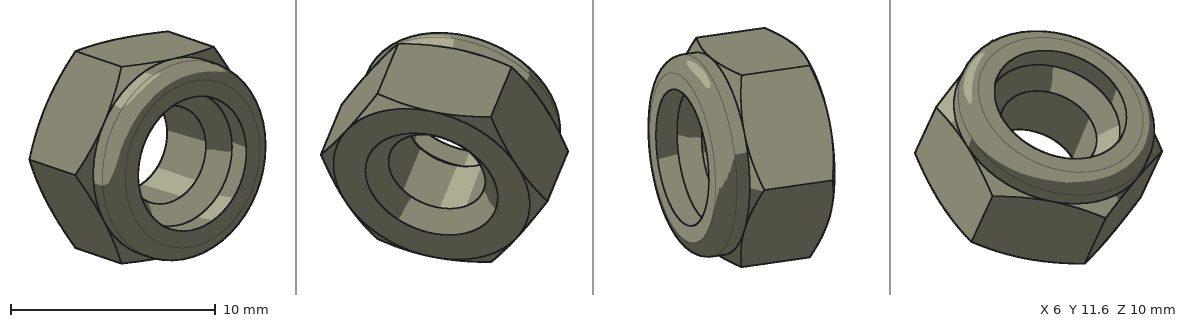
import cadquery as cq
import math

across_corners = 11.55
across_flats = across_corners * math.cos(math.radians(30))
total_length = 6.0
hex_length = 4.5
corner_chamfer_angle = 30.0
collar_rounding = 0.8
bore_diameter = 4.92
countersink_diameter = 6.75
countersink_wall_angle = 45.0
bore_end = 3.96

corner_radius = across_corners / 2
flat_radius = across_flats / 2
corner_chamfer_length = (corner_radius - flat_radius) * math.tan(math.radians(corner_chamfer_angle))
bore_radius = bore_diameter / 2
countersink_radius = countersink_diameter / 2
countersink_depth = (countersink_radius - bore_radius) / math.tan(math.radians(countersink_wall_angle))


def revolve_about_x(profile):
    """Revolve a closed XY profile a full turn about the nut axis."""
    return profile.revolve(360, (0, 0, 0), (1, 0, 0))


def make_hex_body():
    """Hexagon with corners on +Y and -Y, its corners chamfered at both ends."""
    hexagon = cq.Workplane("YZ").polygon(6, across_corners).extrude(hex_length)
    chamfer_envelope = revolve_about_x(
        cq.Workplane("XY").polyline([
            (0, 0),
            (0, flat_radius),
            (corner_chamfer_length, corner_radius),
            (hex_length - corner_chamfer_length, corner_radius),
            (hex_length, flat_radius),
            (hex_length, 0),
        ]).close()
    )
    return hexagon.intersect(chamfer_envelope)


def make_collar():
    """Round collar behind the hexagon, with a rounded outer rim."""
    collar = cq.Workplane("YZ", origin=(hex_length, 0, 0)).circle(flat_radius)
    return collar.extrude(total_length - hex_length).faces(">X").edges().fillet(collar_rounding)


def make_bore():
    """Through hole, countersunk at the entry and flaring behind the bore into a round recess."""
    return revolve_about_x(
        cq.Workplane("XY").polyline([
            (0, 0),
            (0, countersink_radius),
            (countersink_depth, bore_radius),
            (bore_end, bore_radius),
            (bore_end + countersink_depth, countersink_radius),
            (total_length, countersink_radius),
            (total_length, 0),
        ]).close()
    )


result = make_hex_body().union(make_collar()).cut(make_bore())